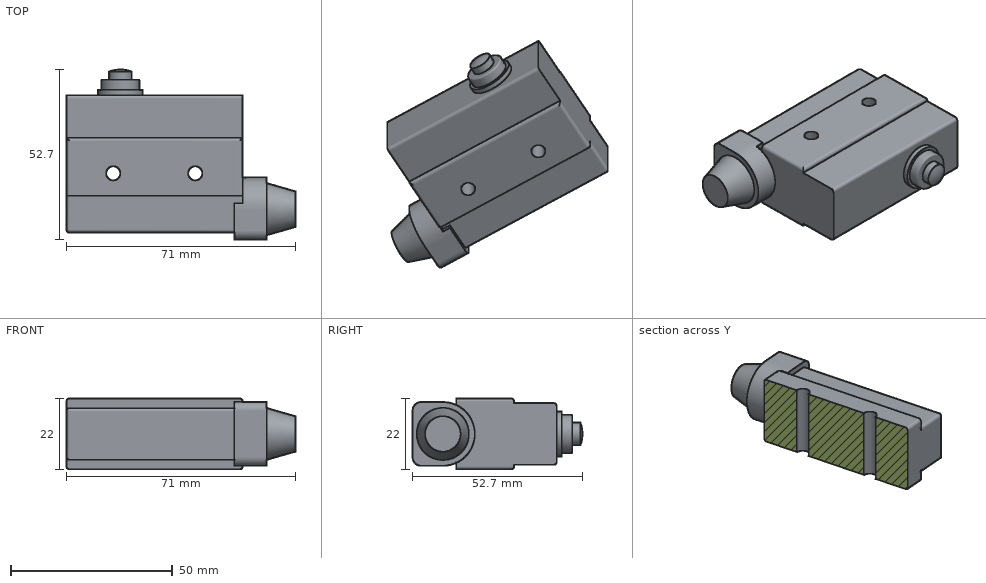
import cadquery as cq

body_length = 54.6
body_depth = 42.6
edge_radius = 1.0

lower_thickness = 16.0
middle_thickness = 22.0
upper_thickness = 19.2
middle_start = 11.4
middle_end = 29.4

hole_count = 2
hole_diameter = 4.3
hole_spacing = 25.4
first_hole_x = 14.5
hole_y = 18.4

plunger_x = 16.7
flange_diameter = 14.0
flange_height = 1.6
collar_diameter = 12.0
collar_height = 3.2
collar_rounding = 0.5
pin_diameter = 7.1
pin_height = 2.5
dome_height = 0.7

clamp_start = 52.0
clamp_end = 62.0
clamp_radius = 9.9
clamp_axis_y = 7.3
clamp_front_y = -2.1
clamp_corner_radius = 2.7
clamp_lip_end_y = 9.2

gland_end = 71.0
gland_base_diameter = 16.2
gland_tip_diameter = 11.0


def slab(start_y, end_y, thickness):
    """Full-length block of the housing between two depths, centred on Z."""
    return cq.Workplane("XY").box(
        body_length, end_y - start_y, thickness, centered=(False, False, True)
    ).translate((0, start_y, 0))


def lower_step():
    """Front step: rounded left edges and top front edge, sharp bottom front edge."""
    step = slab(0, middle_start, lower_thickness)
    left_top_and_bottom = step.edges("<X and |Y")
    left_front = step.edges("<X and <Y")
    top_front = step.edges(">Z and <Y")
    rounded = left_top_and_bottom.add(left_front).add(top_front)
    return rounded.fillet(edge_radius)


def middle_step():
    """Thickest step, rounded on the ends and rear of its top and bottom faces."""
    step = slab(middle_start, middle_end, middle_thickness)
    return step.faces("<Z or >Z").edges("|Y or >Y").fillet(edge_radius)


def upper_step():
    """Rear step, starting inside the middle step, with rounded rear edges."""
    step = slab(middle_start, body_depth, upper_thickness)
    return step.edges("|X and >Y").fillet(edge_radius)


def mounting_holes():
    centers = [(first_hole_x + i * hole_spacing, hole_y) for i in range(hole_count)]
    return (
        cq.Workplane("XY", origin=(0, 0, -middle_thickness / 2))
        .pushPoints(centers)
        .circle(hole_diameter / 2)
        .extrude(middle_thickness)
    )


def plunger():
    """Flange, rounded collar and domed pin, revolved about one axis along Y."""
    flange_radius = flange_diameter / 2
    collar_radius = collar_diameter / 2
    pin_radius = pin_diameter / 2
    flange_top = flange_height
    collar_top = flange_top + collar_height
    pin_top = collar_top + pin_height
    dome_radius = (pin_radius**2 + dome_height**2) / (2 * dome_height)
    return (
        cq.Workplane("XY", origin=(plunger_x, body_depth, 0))
        .lineTo(flange_radius, 0)
        .lineTo(flange_radius, flange_top)
        .lineTo(collar_radius, flange_top)
        .lineTo(collar_radius, collar_top - collar_rounding)
        .radiusArc((collar_radius - collar_rounding, collar_top), -collar_rounding)
        .lineTo(pin_radius, collar_top)
        .lineTo(pin_radius, pin_top)
        .radiusArc((0, pin_top + dome_height), -dome_radius)
        .close()
        .revolve(360, (0, 0, 0), (0, 1, 0))
    )


def clamp():
    """D-shaped block whose front part laps back over the end of the housing."""
    length = clamp_end - clamp_start
    block = (
        cq.Workplane("YZ", origin=(clamp_start, 0, 0))
        .moveTo(clamp_axis_y, clamp_radius)
        .lineTo(clamp_front_y, clamp_radius)
        .lineTo(clamp_front_y, -clamp_radius)
        .lineTo(clamp_axis_y, -clamp_radius)
        .threePointArc((clamp_axis_y + clamp_radius, 0), (clamp_axis_y, clamp_radius))
        .close()
        .extrude(length)
        .edges("|X and <Y")
        .fillet(clamp_corner_radius)
    )
    relief = (
        cq.Workplane("XY")
        .box(
            body_length - clamp_start,
            clamp_axis_y + clamp_radius - clamp_lip_end_y,
            2 * clamp_radius,
            centered=(False, False, True),
        )
        .translate((clamp_start, clamp_lip_end_y, 0))
    )
    return block.cut(relief)


def gland():
    """Truncated cone on the clamp axis."""
    return (
        cq.Workplane("YZ", origin=(clamp_end, clamp_axis_y, 0))
        .circle(gland_base_diameter / 2)
        .workplane(offset=gland_end - clamp_end)
        .circle(gland_tip_diameter / 2)
        .loft()
    )


housing = upper_step().union(middle_step()).union(lower_step()).cut(mounting_holes())
result = housing.union(plunger()).union(clamp()).union(gland())